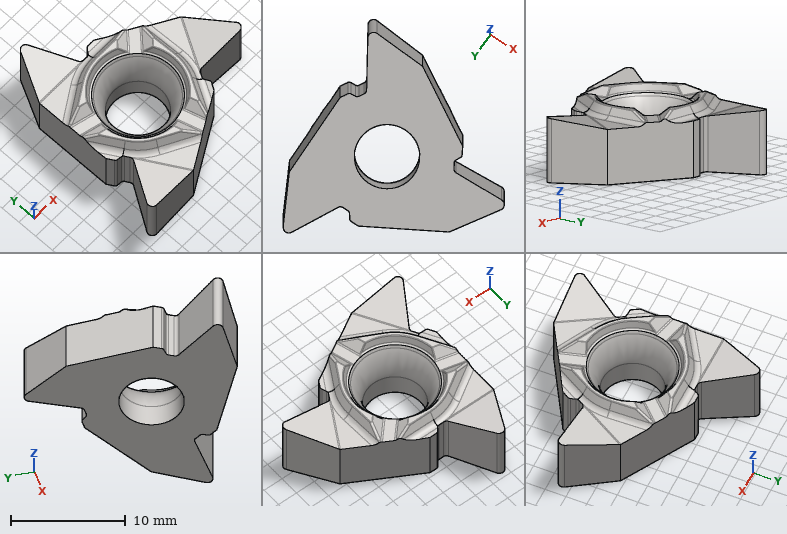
import cadquery as cq
import math

CORNERS = 3
CORNER_PITCH = 360.0 / CORNERS

TOTAL_HEIGHT = 6.05
PLATE_HEIGHT = 5.0
SLOT_FLOOR_Z = 5.3
SEAT_BOTTOM_Z = 2.25
SEAT_TOP_Z = 5.06

INSCRIBED_RADIUS = 6.33
TOOTH_TIP_X = -3.61
TOOTH_TIP_Y = 10.49
TOOTH_TIP_RADIUS = 0.5
TOOTH_HALF_ANGLE = 27.5
NOTCH_FLOOR_Y = 5.9
NOTCH_RIGHT_X = 0.0
NOTCH_ROOT_FILLET = 0.4
NOTCH_RAMP_FILLET = 0.3
LOCATOR_Y = 6.53
LOCATOR_LEFT_X = 0.45

RAKE_ANGLE = 10.0
RAKE_START_Y = 5.87
RAKE_BLEND_LENGTH = 0.06

HUB_TOP_RADIUS = 4.88
HUB_BASE_RADIUS = 5.58
HUB_ROUND_ANGLE = 32.0
HUB_FOOT_FILLET = 0.72
RIM_EDGE_FILLET = 0.1

HUB_CORNER_HALF_ANGLE = (CORNER_PITCH - HUB_ROUND_ANGLE) / 2
SLOT_DIRECTION = 90.0 - HUB_CORNER_HALF_ANGLE
SLOT_FLOOR_WIDTH = 1.2
SLOT_TOP_WIDTH = 3.1
SLOT_FLOOR_FILLET = 0.25
SLOT_MOUTH_FILLET = 0.2

HOLE_RADIUS = 2.85
SEAT_TOP_RADIUS = 3.88
SEAT_RIM_RADIUS = 4.05
RECESS_FLOOR_RADIUS = 4.2
RECESS_TOP_RADIUS = 4.53
RECESS_BLEND_LENGTH = 0.13

BLANK_RADIUS = 2.0 * INSCRIBED_RADIUS


def polar(radius, angle):
    """Point at a radius and an angle in degrees."""
    return (radius * math.cos(math.radians(angle)), radius * math.sin(math.radians(angle)))


def turned(point, angle):
    """Point turned about the origin by an angle in degrees."""
    return polar(math.hypot(*point), math.degrees(math.atan2(point[1], point[0])) + angle)


def repeat_around(shape):
    """Union of the shape and its copies at the other corners."""
    copies = shape
    for index in range(1, CORNERS):
        copies = copies.union(shape.rotate((0, 0, 0), (0, 0, 1), index * CORNER_PITCH))
    return copies


def make_outline_prism():
    """Full-height prism with the outline of the insert."""
    half_angle = math.radians(TOOTH_HALF_ANGLE)
    tip_center_y = TOOTH_TIP_Y - TOOTH_TIP_RADIUS
    apex_y = tip_center_y + TOOTH_TIP_RADIUS / math.sin(half_angle)
    tangent_dx = TOOTH_TIP_RADIUS * math.cos(half_angle)
    tangent_y = tip_center_y + TOOTH_TIP_RADIUS * math.sin(half_angle)
    left_root_y = apex_y - (TOOTH_TIP_X + INSCRIBED_RADIUS) / math.tan(half_angle)
    right_root_x = TOOTH_TIP_X + (apex_y - NOTCH_FLOOR_Y) * math.tan(half_angle)
    normal_x, normal_y = polar(1.0, 180.0 - CORNER_PITCH)
    locator_right_x = (INSCRIBED_RADIUS - LOCATOR_Y * normal_y) / normal_x

    left_root = (-INSCRIBED_RADIUS, left_root_y)
    outline = cq.Workplane("XY").moveTo(*left_root)
    for index in range(CORNERS):
        angle = -index * CORNER_PITCH
        outline = outline.lineTo(*turned((TOOTH_TIP_X - tangent_dx, tangent_y), angle))
        outline = outline.threePointArc(
            turned((TOOTH_TIP_X, TOOTH_TIP_Y), angle),
            turned((TOOTH_TIP_X + tangent_dx, tangent_y), angle),
        )
        outline = outline.lineTo(*turned((right_root_x, NOTCH_FLOOR_Y), angle))
        outline = outline.lineTo(*turned((NOTCH_RIGHT_X, NOTCH_FLOOR_Y), angle))
        outline = outline.lineTo(*turned((LOCATOR_LEFT_X, LOCATOR_Y), angle))
        outline = outline.lineTo(*turned((locator_right_x, LOCATOR_Y), angle))
        if index < CORNERS - 1:
            outline = outline.lineTo(*turned(left_root, angle - CORNER_PITCH))
    prism = outline.close().extrude(TOTAL_HEIGHT)

    fillets = (
        ((right_root_x, NOTCH_FLOOR_Y), NOTCH_ROOT_FILLET),
        ((NOTCH_RIGHT_X, NOTCH_FLOOR_Y), NOTCH_RAMP_FILLET),
        ((LOCATOR_LEFT_X, LOCATOR_Y), NOTCH_RAMP_FILLET),
    )
    for corner, radius in fillets:
        for index in range(CORNERS):
            x, y = turned(corner, -index * CORNER_PITCH)
            edge = cq.selectors.NearestToPointSelector((x, y, TOTAL_HEIGHT / 2))
            prism = prism.edges(edge).fillet(radius)
    return prism


def hub_section(plane, radius):
    """Add to the plane a round of the given radius with three tangent corners."""
    corner_distance = radius / math.cos(math.radians(HUB_CORNER_HALF_ANGLE))
    corner = polar(corner_distance, SLOT_DIRECTION)
    section = plane.moveTo(*corner)
    for index in range(CORNERS):
        start = 90.0 + index * CORNER_PITCH
        section = section.lineTo(*polar(radius, start))
        section = section.threePointArc(
            polar(radius, start + HUB_ROUND_ANGLE / 2),
            polar(radius, start + HUB_ROUND_ANGLE),
        )
        if index < CORNERS - 1:
            section = section.lineTo(*turned(corner, (index + 1) * CORNER_PITCH))
    return section.close()


def make_hub_on_plate():
    """Round blank plate carrying the sloped hub, blended at the foot."""
    plate = cq.Workplane("XY").circle(BLANK_RADIUS).extrude(PLATE_HEIGHT)
    hub = hub_section(cq.Workplane("XY").workplane(offset=PLATE_HEIGHT), HUB_BASE_RADIUS)
    hub = hub_section(hub.workplane(offset=TOTAL_HEIGHT - PLATE_HEIGHT), HUB_TOP_RADIUS)
    hub = hub.loft(ruled=True)
    foot_reach = 2.0 * HUB_BASE_RADIUS
    foot_zone = cq.selectors.BoxSelector(
        (-foot_reach, -foot_reach, PLATE_HEIGHT - 0.01),
        (foot_reach, foot_reach, PLATE_HEIGHT + 0.01),
    )
    foot_edges = plate.union(hub).edges(foot_zone)
    return foot_edges.fillet(HUB_FOOT_FILLET)


def make_rake_wedges():
    """Wedges that lift the plate toward the tooth tips, with a blended start."""
    slope = math.tan(math.radians(RAKE_ANGLE))
    blend_start = (RAKE_START_Y - RAKE_BLEND_LENGTH, PLATE_HEIGHT)
    blend_end = turned((RAKE_BLEND_LENGTH, 0), RAKE_ANGLE)
    blend_end = (RAKE_START_Y + blend_end[0], PLATE_HEIGHT + blend_end[1])
    outer_y = BLANK_RADIUS
    outer_z = PLATE_HEIGHT + (outer_y - RAKE_START_Y) * slope
    wedge = (
        cq.Workplane("YZ")
        .moveTo(HUB_BASE_RADIUS, 0)
        .lineTo(HUB_BASE_RADIUS, PLATE_HEIGHT)
        .lineTo(*blend_start)
        .tangentArcPoint(blend_end, relative=False)
        .lineTo(outer_y, outer_z)
        .lineTo(outer_y, 0)
        .close()
        .extrude(INSCRIBED_RADIUS, both=True)
    )
    return wedge


def hub_radius_at(z):
    """Distance of the sloped hub wall from the axis at a height."""
    rise = (z - PLATE_HEIGHT) / (TOTAL_HEIGHT - PLATE_HEIGHT)
    return HUB_BASE_RADIUS + rise * (HUB_TOP_RADIUS - HUB_BASE_RADIUS)


def make_locator_blends():
    """Concave blends from the hub wall to the rising face of each locator."""
    wall_angle = math.degrees(math.atan2(TOTAL_HEIGHT - PLATE_HEIGHT, HUB_TOP_RADIUS - HUB_BASE_RADIUS))
    wall_slope = (HUB_BASE_RADIUS - HUB_TOP_RADIUS) / (TOTAL_HEIGHT - PLATE_HEIGHT)
    rake_slope = math.tan(math.radians(RAKE_ANGLE))
    foot_rise = rake_slope * (HUB_BASE_RADIUS - RAKE_START_Y) / (1 + rake_slope * wall_slope)
    foot_y = HUB_BASE_RADIUS - wall_slope * foot_rise
    foot_z = PLATE_HEIGHT + foot_rise
    turn = 180.0 - wall_angle + RAKE_ANGLE
    reach = HUB_FOOT_FILLET * math.tan(math.radians(turn / 2))
    wall_step = polar(reach, wall_angle)
    rake_step = polar(reach, RAKE_ANGLE)
    blend = (
        cq.Workplane("YZ")
        .moveTo(foot_y, foot_z)
        .lineTo(foot_y + wall_step[0], foot_z + wall_step[1])
        .radiusArc((foot_y + rake_step[0], foot_z + rake_step[1]), -HUB_FOOT_FILLET)
        .close()
        .extrude(INSCRIBED_RADIUS - HUB_TOP_RADIUS / 2)
    )
    return repeat_around(blend)


def round_slot_mouths(body):
    """Round the edges where the slot walls leave through the hub wall."""
    z = (SLOT_FLOOR_Z + TOTAL_HEIGHT) / 2
    half_width = (SLOT_FLOOR_WIDTH + SLOT_TOP_WIDTH) / 4
    wall_angle = math.radians(HUB_CORNER_HALF_ANGLE)
    along = (hub_radius_at(z) - half_width * math.sin(wall_angle)) / math.cos(wall_angle)
    for index in range(CORNERS):
        for side in (half_width, -half_width):
            x, y = turned((along, side), SLOT_DIRECTION + index * CORNER_PITCH)
            body = body.edges(cq.selectors.NearestToPointSelector((x, y, z))).fillet(SLOT_MOUTH_FILLET)
    return body


def round_rim_edges(body):
    """Round the hub's top edges and the edges where the slot walls meet the recess."""
    z = (SLOT_FLOOR_Z + TOTAL_HEIGHT) / 2
    radius = (RECESS_FLOOR_RADIUS + RECESS_TOP_RADIUS) / 2
    half_width = (SLOT_FLOOR_WIDTH + SLOT_TOP_WIDTH) / 4
    along = math.sqrt(radius**2 - half_width**2)
    edges = body.faces(">Z").edges()
    for index in range(CORNERS):
        for side in (half_width, -half_width):
            x, y = turned((along, side), SLOT_DIRECTION + index * CORNER_PITCH)
            edges = edges.add(body.edges(cq.selectors.NearestToPointSelector((x, y, z))))
    return edges.fillet(RIM_EDGE_FILLET)


def make_slot_cutters():
    """Flared slots running outward through the hub corners."""
    floor_half = SLOT_FLOOR_WIDTH / 2
    top_half = SLOT_TOP_WIDTH / 2
    cutter = (
        cq.Workplane("YZ")
        .moveTo(-floor_half, SLOT_FLOOR_Z)
        .lineTo(floor_half, SLOT_FLOOR_Z)
        .lineTo(top_half, TOTAL_HEIGHT)
        .lineTo(-top_half, TOTAL_HEIGHT)
        .close()
        .extrude(BLANK_RADIUS)
        .edges("|X and <Z")
        .fillet(SLOT_FLOOR_FILLET)
    )
    return repeat_around(cutter.rotate((0, 0, 0), (0, 0, 1), SLOT_DIRECTION))


def make_hole_cutter():
    """Screw hole with a curved head seat and a sloped recess around its rim."""
    wall_x = RECESS_TOP_RADIUS - RECESS_FLOOR_RADIUS
    wall_z = TOTAL_HEIGHT - SLOT_FLOOR_Z
    blend_ratio = RECESS_BLEND_LENGTH / math.hypot(wall_x, wall_z)
    return (
        cq.Workplane("XZ")
        .lineTo(HOLE_RADIUS, 0)
        .lineTo(HOLE_RADIUS, SEAT_BOTTOM_Z)
        .tangentArcPoint((SEAT_TOP_RADIUS, SEAT_TOP_Z), relative=False)
        .lineTo(SEAT_RIM_RADIUS, SLOT_FLOOR_Z)
        .lineTo(RECESS_FLOOR_RADIUS - RECESS_BLEND_LENGTH, SLOT_FLOOR_Z)
        .tangentArcPoint(
            (RECESS_FLOOR_RADIUS + wall_x * blend_ratio, SLOT_FLOOR_Z + wall_z * blend_ratio),
            relative=False,
        )
        .lineTo(RECESS_TOP_RADIUS, TOTAL_HEIGHT)
        .lineTo(0, TOTAL_HEIGHT)
        .close()
        .revolve(360, (0, 0, 0), (0, 1, 0))
    )


body = make_hub_on_plate()
body = body.cut(make_slot_cutters())
body = round_slot_mouths(body)
body = body.cut(make_hole_cutter())
body = round_rim_edges(body)
blends = make_locator_blends().cut(make_slot_cutters())
body = body.union(blends)
for index in range(CORNERS):
    body = body.union(make_rake_wedges().rotate((0, 0, 0), (0, 0, 1), index * CORNER_PITCH))
result = body.intersect(make_outline_prism())